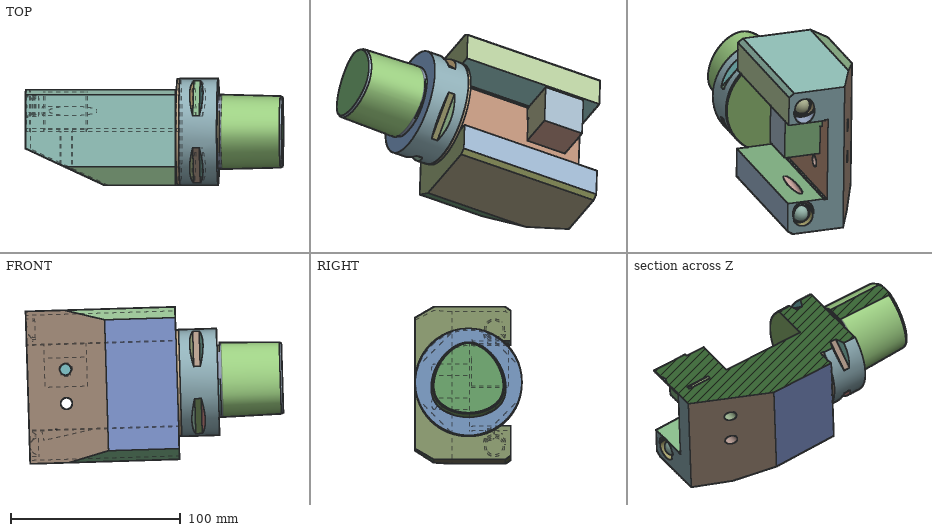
import cadquery as cq
import math

tilt_angle = 1.75

body_length = 88.1
body_height = 89.9
body_back_y = 24.9
flange_diameter = 63.0
body_front_y = -flange_diameter / 2
nose_bevel_angle = 25.0
nose_bevel_y = -9.9
front_chamfer_depth = 11.1
front_chamfer_angle = 30.0
back_chamfer_depth = 3.2
back_chamfer_drop = 2.3

slot_height = 50.0
slot_floor_y = 0.3
relief_width = 1.8
relief_depth = 0.5

clamp_size = slot_height / 2
clamp_back_y = 23.5
clamp_front_y = 1.5
clamp_start = 10.0
clamp_lip_height = 7.9
screw_x = clamp_start + clamp_size / 2
screw_spacing = 20.0
screw_hole_diameter = 6.7
screw_pad_diameter = 8.0

nozzle_y = 15.2
spot_face_z = 32.8
spot_face_angle = 34.0
spot_face_diameter = 13.0
spot_face_depth = 0.3
nozzle_seat_z = 34.5
nozzle_seat_diameter = 12.0
nozzle_seat_depth = 5.2
nozzle_ball_diameter = 10.0

outlet_diameter = 5.5
outlet_x = 25.8
outlet_y = 12.5
outlet_angle = 11.0
outlet_length = 18.2

flange_end = 112.0
collar_diameter = 62.5
collar_length = 1.7
grip_x = 99.9
grip_floor_radius = 28.0
grip_floor_width = 3.8
grip_flank_angle = 30.0

shank_length = 38.0
shank_land_length = 2.3
shank_radius = 22.0
shank_eccentricity = 2.3
shank_taper = 1 / 40
shank_chamfer = 1.4
shank_chamfer_rise = 0.8
neck_diameter = 43.1
neck_length = 1.4

overlap = 1.5


def box_between(x_range, y_range, z_range):
    """Axis-aligned box given by its lower and upper limits."""
    limits = (x_range, y_range, z_range)
    sizes = [high - low for low, high in limits]
    corner = cq.Vector(*[low for low, high in limits])
    return cq.Workplane("XY").box(*sizes, centered=False).translate(corner)


def make_body():
    half_height = body_height / 2
    front_drop = front_chamfer_depth * math.tan(math.radians(front_chamfer_angle))
    upper_half = [
        (body_front_y, half_height - front_drop),
        (body_front_y + front_chamfer_depth, half_height),
        (body_back_y - back_chamfer_depth, half_height),
        (body_back_y, half_height - back_chamfer_drop),
    ]
    lower_half = [(y, -z) for y, z in reversed(upper_half)]
    block = cq.Workplane("YZ").polyline(upper_half + lower_half).close().extrude(body_length)

    bevel_length = (nose_bevel_y - body_front_y) / math.tan(math.radians(nose_bevel_angle))
    bevel = (
        cq.Workplane("XY")
        .polyline([(0, nose_bevel_y), (0, body_front_y), (bevel_length, body_front_y)])
        .close()
        .extrude(half_height, both=True)
    )
    return block.cut(bevel)


def make_tool_slot():
    half_height = slot_height / 2
    slot = box_between(
        (0, body_length), (slot_floor_y, body_back_y), (-half_height, half_height)
    )
    relief_half = half_height + relief_depth
    relief = box_between(
        (0, body_length), (slot_floor_y, slot_floor_y + relief_width), (-relief_half, relief_half)
    )
    return slot.union(relief)


def make_clamp():
    block = box_between(
        (clamp_start, clamp_start + clamp_size),
        (clamp_front_y, clamp_back_y),
        (0, slot_height / 2),
    )
    lip = box_between(
        (clamp_start, clamp_start + clamp_size),
        (slot_floor_y, clamp_front_y),
        (slot_height / 2 - clamp_lip_height, slot_height / 2),
    )
    pad = cq.Workplane("XZ", origin=(screw_x, clamp_front_y, screw_spacing / 2))
    pad = pad.circle(screw_pad_diameter / 2).extrude(clamp_front_y - slot_floor_y)
    return block.union(lip).union(pad)


def make_screw_holes():
    holes = cq.Workplane("XZ", origin=(0, slot_floor_y, 0))
    holes = holes.pushPoints([(screw_x, screw_spacing / 2), (screw_x, -screw_spacing / 2)])
    return holes.circle(screw_hole_diameter / 2).extrude(slot_floor_y - body_front_y)


def add_nozzle(holder, side):
    """Add the coolant nozzle of the upper (side=1) or lower (side=-1) jaw."""
    angle = math.radians(spot_face_angle)
    axis = cq.Vector(math.cos(angle), 0, side * math.sin(angle))
    mouth = cq.Vector(0, nozzle_y, side * spot_face_z)
    spot_face = cq.Solid.makeCylinder(
        spot_face_diameter / 2,
        spot_face_diameter + spot_face_depth,
        mouth - axis * spot_face_diameter,
        axis,
    )
    seat = cq.Workplane("YZ", origin=(0, nozzle_y, side * nozzle_seat_z))
    seat = seat.circle(nozzle_seat_diameter / 2).extrude(nozzle_seat_depth)
    ball = cq.Workplane("XY").sphere(nozzle_ball_diameter / 2)
    ball = ball.translate((nozzle_seat_depth, nozzle_y, side * nozzle_seat_z))
    return holder.cut(spot_face).cut(seat).union(ball)


def make_coolant_outlet():
    angle = math.radians(outlet_angle)
    axis = cq.Vector(math.cos(angle), 0, math.sin(angle))
    middle = cq.Vector(outlet_x, outlet_y, -slot_height / 2)
    start = middle - axis * outlet_length
    return cq.Solid.makeCylinder(outlet_diameter / 2, 2 * outlet_length, start, axis)


def make_flange():
    collar = cq.Workplane("YZ", origin=(body_length, 0, 0))
    collar = collar.circle(collar_diameter / 2).extrude(collar_length)
    rim_start = body_length + collar_length
    rim = cq.Workplane("YZ", origin=(rim_start, 0, 0))
    rim = rim.circle(flange_diameter / 2).extrude(flange_end - rim_start)
    flange = collar.union(rim)

    rise = flange_diameter / 2 - grip_floor_radius + overlap
    floor_half = grip_floor_width / 2
    top_half = floor_half + rise * math.tan(math.radians(grip_flank_angle))
    grip = (
        cq.Workplane("XZ", origin=(grip_x, 0, grip_floor_radius))
        .polyline([(-floor_half, 0), (floor_half, 0), (top_half, rise), (-top_half, rise)])
        .close()
        .extrude(flange_diameter / 2, both=True)
    )
    for turn in (45, 135, 225, 315):
        flange = flange.cut(grip.rotate((0, 0, 0), (1, 0, 0), turn))
    return flange


def lobed_point(radius):
    """Curve function of a closed three-lobed section with one lobe toward +Z."""

    def point(t):
        turn = 2 * math.pi * t
        across = math.sin(turn), math.cos(turn)
        double = math.sin(2 * turn), math.cos(2 * turn)
        quadruple = math.sin(4 * turn), math.cos(4 * turn)
        y = radius * across[0] + shank_eccentricity * (double[0] + quadruple[0] / 2)
        z = -radius * across[1] + shank_eccentricity * (double[1] - quadruple[1] / 2)
        return y, z

    return point


def make_shank():
    cone_length = shank_length - shank_land_length - shank_chamfer
    cone_end_radius = shank_radius - cone_length * shank_taper
    shank = (
        cq.Workplane("YZ", origin=(flange_end, 0, 0))
        .parametricCurve(lobed_point(shank_radius))
        .workplane(offset=shank_land_length)
        .parametricCurve(lobed_point(shank_radius))
        .workplane(offset=cone_length)
        .parametricCurve(lobed_point(cone_end_radius))
        .workplane(offset=shank_chamfer)
        .parametricCurve(lobed_point(cone_end_radius - shank_chamfer_rise))
        .loft(ruled=True)
    )
    ring = (
        cq.Workplane("YZ", origin=(flange_end, 0, 0))
        .circle(shank_radius + 2 * shank_eccentricity)
        .circle(neck_diameter / 2)
        .extrude(neck_length)
    )
    return shank.cut(ring)


holder = make_body().cut(make_tool_slot()).cut(make_screw_holes())
holder = holder.cut(cq.Workplane(make_coolant_outlet()))
for jaw_side in (1, -1):
    holder = add_nozzle(holder, jaw_side)
holder = holder.union(make_clamp()).union(make_flange()).union(make_shank())

result = holder.rotate((0, 0, 0), (0, 1, 0), -tilt_angle)